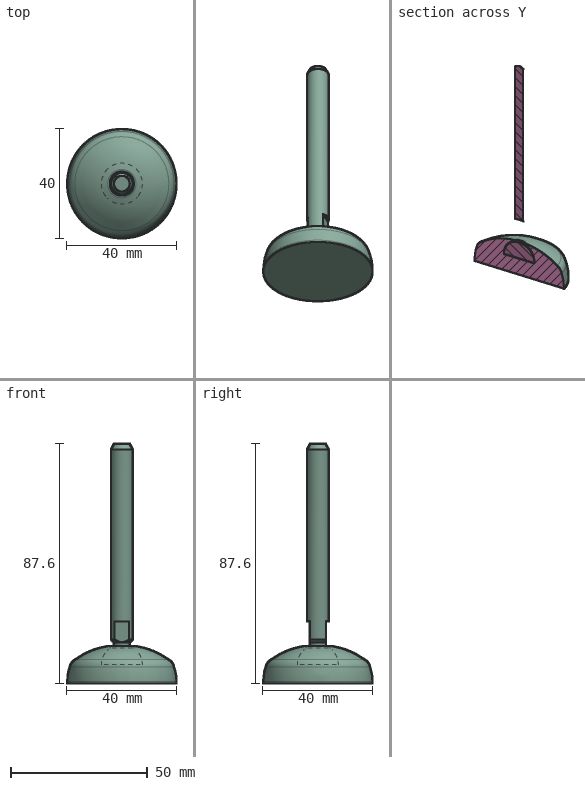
import cadquery as cq
import math

total_height = 87.6

base_radius = 40.0 / 2
base_band_height = 0.8
side_top_radius = 19.1
side_top_height = 6.05
side_mid_radius = 19.8
side_mid_height = 3.4
shoulder_mid_radius = 18.5
shoulder_mid_height = 7.5
dome_edge_radius = 17.2
dome_edge_height = 8.8
dome_mid_radius = 11.6
dome_mid_height = 11.9
rim_radius = 5.2
rim_height = 13.75

ball_radius = 15.0 / 2
opening_radius = 8.8 / 2
opening_depth = 0.8
ball_center_height = rim_height - opening_depth - math.sqrt(ball_radius**2 - opening_radius**2)

shaft_radius = 8.0 / 2
neck_radius = 6.0 / 2
neck_top_height = 15.1
neck_cone_height = shaft_radius - neck_radius
tip_radius = 5.8 / 2
tip_height = 2.0
flat_top_height = 22.7
flat_distance = 2 * neck_radius


def upper_ball():
    """Half ball above its centre plane, with a flat underside."""
    return (
        cq.Workplane("XZ")
        .moveTo(0, ball_center_height)
        .lineTo(ball_radius, ball_center_height)
        .threePointArc(
            (ball_radius * math.sqrt(0.5), ball_center_height + ball_radius * math.sqrt(0.5)),
            (0, ball_center_height + ball_radius),
        )
        .close()
        .revolve(360, (0, 0), (0, 1))
    )


def make_foot():
    """Domed foot with a socket that opens through the flat rim."""
    dome = (
        cq.Workplane("XZ")
        .lineTo(base_radius, 0)
        .lineTo(base_radius, base_band_height)
        .threePointArc((side_mid_radius, side_mid_height), (side_top_radius, side_top_height))
        .threePointArc((shoulder_mid_radius, shoulder_mid_height), (dome_edge_radius, dome_edge_height))
        .threePointArc((dome_mid_radius, dome_mid_height), (rim_radius, rim_height))
        .lineTo(0, rim_height)
        .close()
        .revolve(360, (0, 0), (0, 1))
    )
    opening = (
        cq.Workplane("XY")
        .workplane(offset=ball_center_height)
        .circle(opening_radius)
        .extrude(rim_height - ball_center_height)
    )
    return dome.cut(upper_ball()).cut(opening)


def flat_cutter(side):
    """Block that cuts one wrench flat; side is +1 or -1 along Y."""
    depth = shaft_radius
    return (
        cq.Workplane("XY")
        .workplane(offset=neck_top_height)
        .center(0, side * (flat_distance + depth) / 2)
        .rect(2 * shaft_radius, depth)
        .extrude(flat_top_height - neck_top_height)
    )


def make_stud():
    """Shaft with a tapered tip, two wrench flats, a neck and a ball end."""
    shaft = (
        cq.Workplane("XZ")
        .moveTo(0, ball_center_height)
        .lineTo(neck_radius, ball_center_height)
        .lineTo(neck_radius, neck_top_height)
        .lineTo(shaft_radius, neck_top_height + neck_cone_height)
        .lineTo(shaft_radius, total_height - tip_height)
        .lineTo(tip_radius, total_height)
        .lineTo(0, total_height)
        .close()
        .revolve(360, (0, 0), (0, 1))
    )
    for side in (1, -1):
        shaft = shaft.cut(flat_cutter(side))
    return shaft.union(upper_ball())


foot = make_foot()
stud = make_stud()

result = cq.Compound.makeCompound([foot.solids().val(), stud.solids().val()])